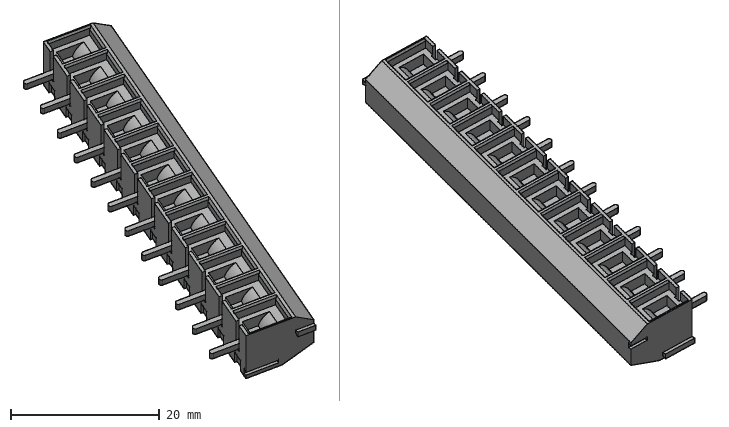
import cadquery as cq
import math

pole_count = 12
body_length = 60.0
pitch = body_length / pole_count
body_left = -body_length / 2
body_right = body_length / 2
body_depth = 10.3
body_height = 8.6

ridge_y = 7.5
rear_top_z = 6.7
rear_bottom_z = 2.15
bottom_rear_y = 5.5

rib_thickness = 0.35
pocket_front_y = 0.5
pocket_back_y = 7.05
pocket_floor_z = 7.0
side_bevel_width = 0.275
rear_bevel_width = 0.25
side_bevel_height = 0.275
rear_bevel_height = 0.55

well_width = 2.65
well_front_y = 1.4
well_back_y = 5.5
ramp_radius = 3.3
ramp_run = 1.7
ramp_top_slope = math.radians(26)

slot_width = 0.9
slot_depth = 0.75
slot_bottom_z = 3.5
pin_width = 0.75
pin_height = 1.1
pin_bottom_z = 3.85
pin_length = 4.2

notch_width = 1.65
notch_height = 2.0
notch_depth = 0.35

front_tongue_z = 1.0
front_tongue_y = (0, 4.95)
front_tongue_reach = 0.6
rear_tongue_z = 5.7
rear_tongue_y = (ridge_y, body_depth)
rear_tongue_reach = 0.6
tongue_neck = 0.55
tongue_tip = 1.0


def block(x_range, y_range, z_range):
    """Axis-aligned box spanning the three ranges."""
    sizes = [high - low for low, high in (x_range, y_range, z_range)]
    corner = (x_range[0], y_range[0], z_range[0])
    return cq.Workplane("XY").box(*sizes, centered=False).translate(corner)


def centered_range(middle, width):
    return (middle - width / 2, middle + width / 2)


def housing():
    outline = [
        (0, 0),
        (bottom_rear_y, 0),
        (body_depth, rear_bottom_z),
        (body_depth, rear_top_z),
        (ridge_y, body_height),
        (0, body_height),
    ]
    return cq.Workplane("YZ", origin=(body_left, 0, 0)).polyline(outline).close().extrude(body_length)


def pocket(x):
    """Rectangular pocket with bevels along its two sides and its rear."""
    opening_width = pitch - rib_thickness
    floor_width = opening_width - 2 * side_bevel_width
    floor_back_y = pocket_back_y - rear_bevel_width
    shaft = block(
        centered_range(x, floor_width),
        (pocket_front_y, floor_back_y),
        (pocket_floor_z, body_height),
    )
    side_bevels = (
        cq.Workplane("XZ", origin=(x, pocket_front_y, 0))
        .moveTo(-opening_width / 2, body_height)
        .lineTo(opening_width / 2, body_height)
        .lineTo(floor_width / 2, body_height - side_bevel_height)
        .lineTo(-floor_width / 2, body_height - side_bevel_height)
        .close()
        .extrude(pocket_front_y - pocket_back_y)
    )
    rear_bevel = (
        cq.Workplane("YZ", origin=(x - opening_width / 2, 0, 0))
        .moveTo(pocket_front_y, body_height)
        .lineTo(pocket_back_y, body_height)
        .lineTo(floor_back_y, body_height - rear_bevel_height)
        .lineTo(pocket_front_y, body_height - rear_bevel_height)
        .close()
        .extrude(opening_width)
    )
    floor_column = block(centered_range(x, floor_width), (0, body_depth), (0, body_height))
    return shaft.union(side_bevels.intersect(rear_bevel)).union(rear_bevel.intersect(floor_column))


def well(x):
    """Rectangular well whose floor rises to the pocket floor at the rear on a convex arc along X."""
    axis_y = well_back_y + ramp_radius * math.sin(ramp_top_slope)
    axis_z = pocket_floor_z - ramp_radius * math.cos(ramp_top_slope)
    ramp_foot_slope = math.asin(math.sin(ramp_top_slope) + ramp_run / ramp_radius)

    def ramp_point(slope):
        return (axis_y - ramp_radius * math.sin(slope), axis_z + ramp_radius * math.cos(slope))

    ramp_foot = ramp_point(ramp_foot_slope)
    ramp_middle = ramp_point((ramp_top_slope + ramp_foot_slope) / 2)
    well_floor_z = ramp_foot[1]
    return (
        cq.Workplane("YZ", origin=(x - well_width / 2, 0, 0))
        .moveTo(well_front_y, pocket_floor_z)
        .lineTo(well_front_y, well_floor_z)
        .lineTo(*ramp_foot)
        .threePointArc(ramp_middle, (well_back_y, pocket_floor_z))
        .close()
        .extrude(well_width)
    )


def slot(x):
    return block(centered_range(x, slot_width), (0, slot_depth), (slot_bottom_z, body_height))


def notch(x):
    return block(centered_range(x, notch_width), (0, notch_depth), (0, notch_height))


def pin(x):
    """Flat pin with a round nose, rooted in the rear of the slot."""
    half = pin_width / 2
    nose_start_y = half - pin_length
    return (
        cq.Workplane("XY", origin=(x, 0, pin_bottom_z))
        .moveTo(-half, slot_depth)
        .lineTo(-half, nose_start_y)
        .threePointArc((0, -pin_length), (half, nose_start_y))
        .lineTo(half, slot_depth)
        .close()
        .extrude(pin_height)
    )


def dovetail(root_x, z, y_range, reach):
    """Dovetail bar running along Y, widening from root_x by reach towards -X or +X."""
    neck_low, neck_high = centered_range(z, tongue_neck)
    tip_low, tip_high = centered_range(z, tongue_tip)
    outline = [
        (root_x, neck_low),
        (root_x + reach, tip_low),
        (root_x + reach, tip_high),
        (root_x, neck_high),
    ]
    y_start, y_end = y_range
    return cq.Workplane("XZ", origin=(0, y_start, 0)).polyline(outline).close().extrude(y_start - y_end)


result = housing()

for pole in range(pole_count):
    pole_x = body_left + (pole + 0.5) * pitch
    for cutter in (pocket, well, slot, notch):
        result = result.cut(cutter(pole_x))
    result = result.union(pin(pole_x))

front_dovetail = (front_tongue_z, front_tongue_y, -front_tongue_reach)
rear_dovetail = (rear_tongue_z, rear_tongue_y, rear_tongue_reach)
result = result.union(dovetail(body_left, *front_dovetail))
result = result.cut(dovetail(body_right, *front_dovetail))
result = result.union(dovetail(body_right, *rear_dovetail))
result = result.cut(dovetail(body_left, *rear_dovetail))